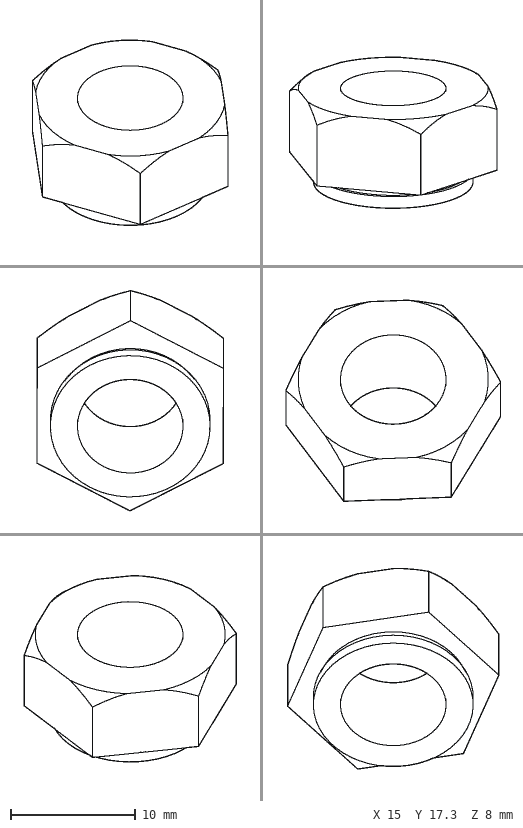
import cadquery as cq
import math

total_height = 8.0
across_flats = 15.0
corner_diameter = 17.3

flange_diameter = 12.85
flange_height = 1.0
neck_diameter = 12.25
neck_height = 0.8

bore_diameter = 8.5
corner_chamfer = 1.0

hex_base = flange_height + neck_height
hex_height = total_height - hex_base


def disc(diameter, base, height):
    """Upright cylinder on the Z axis, starting at the given base height."""
    return cq.Workplane("XY").workplane(offset=base).circle(diameter / 2).extrude(height)


def hex_head():
    """Hexagon with corners on the Y axis, its top corners bevelled by a cone."""
    sharp_diameter = across_flats / math.cos(math.pi / 6)
    hexagon = (
        cq.Workplane("XY")
        .workplane(offset=hex_base)
        .transformed(rotate=(0, 0, 90))
        .polygon(6, sharp_diameter)
        .extrude(hex_height)
    )
    envelope = disc(corner_diameter, hex_base, hex_height).faces(">Z").chamfer(corner_chamfer)
    return hexagon.intersect(envelope)


flange = disc(flange_diameter, 0, flange_height)
neck = disc(neck_diameter, flange_height, neck_height)
bore = disc(bore_diameter, 0, total_height)

result = hex_head().union(neck).union(flange).cut(bore)